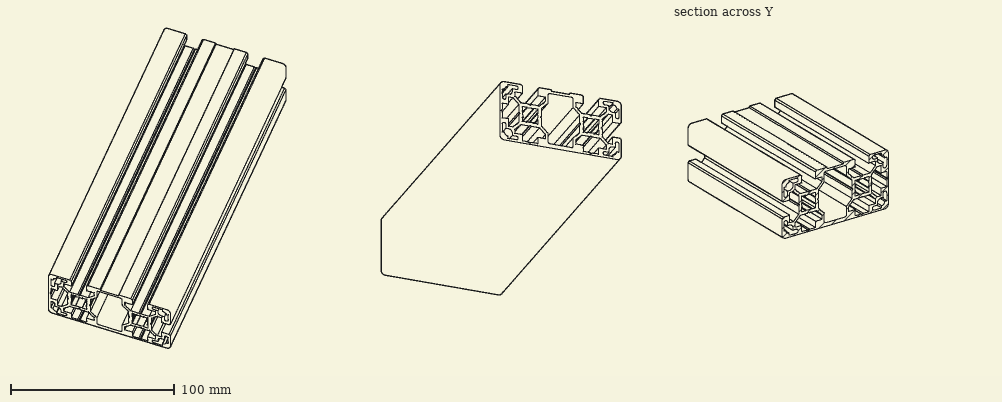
import cadquery as cq
import math

length = 200.0
width = 80.0
height = 40.0
corner_radius = 3.0

half_module = height / 2
core_half = 15.0 / 2
core_spacing = width / 2
core_x = core_spacing / 2

mouth_half = 5.0
mouth_bevel = 1.0
lip_depth = 5.8
slot_half = 10.0
closed_wall = 1.5
web_offset = 1.5
nick_half = 0.8
nick_depth = 0.5

bore_half = 10.2 / 2
bore_radius = 5.0
bore_corner_start = 2.2

chamber_half = 8.2
chamber_half_height = 17.2
chamber_round = 1.2
recess_half = 6.2
recess_floor_half = 5.8
recess_depth = 1.0

pocket_outer = half_module - closed_wall
pocket_tip = 8.0
pocket_inner = 16.0
screw_centre = 14.5
screw_radius = 2.5
screw_step = 14.5


def prism(outline):
    """Extrude a closed XZ outline over the full length, centred on Y."""
    return outline.close().extrude(length / 2, both=True)


def mirrored_outline(right_side):
    """Complete a right-hand half outline with its mirror image about the vertical axis."""
    left_side = [(-x, z) for x, z in reversed(right_side) if x > 0]
    return cq.Workplane("XZ").polyline(right_side + left_side)


def slot(is_open):
    """T-slot above a core at the origin; a closed slot stops at a thin wall with a nick in it."""
    lip_level = half_module - lip_depth
    cavity_points = [
        (0, core_half - nick_depth),
        (nick_half, core_half),
        (core_half - web_offset, core_half),
        (slot_half, slot_half + web_offset),
        (slot_half, lip_level),
        (mouth_half, lip_level),
    ]
    if is_open:
        mouth_points = [
            (mouth_half, half_module - mouth_bevel),
            (mouth_half + mouth_bevel, half_module),
        ]
    else:
        wall_level = half_module - closed_wall
        mouth_points = [
            (mouth_half, wall_level),
            (nick_half, wall_level),
            (0, wall_level + nick_depth),
        ]
    return prism(mirrored_outline(cavity_points + mouth_points))


def corner_pocket():
    """Bent hollow in the +X +Z corner of a core at the origin, with a screw hole across its bend."""
    tip_radius = (pocket_outer - pocket_inner) / 2
    tip_middle = pocket_outer - tip_radius
    tip_start = pocket_tip + tip_radius
    screw_reach = screw_centre + math.sqrt(screw_radius**2 - (screw_step - screw_centre) ** 2)
    screw_inner = screw_centre - screw_radius
    diagonal_reach = screw_radius * math.sqrt(0.5)
    screw_far = screw_centre + diagonal_reach
    screw_near = screw_centre - diagonal_reach
    return prism(
        cq.Workplane("XZ")
        .moveTo(tip_start, pocket_outer)
        .lineTo(screw_step, pocket_outer)
        .lineTo(screw_step, screw_reach)
        .threePointArc((screw_far, screw_far), (screw_reach, screw_step))
        .lineTo(pocket_outer, screw_step)
        .lineTo(pocket_outer, tip_start)
        .threePointArc((tip_middle, pocket_tip), (pocket_inner, tip_start))
        .lineTo(pocket_inner, screw_inner)
        .lineTo(screw_centre, screw_inner)
        .threePointArc((screw_near, screw_near), (screw_inner, screw_centre))
        .lineTo(screw_inner, pocket_inner)
        .lineTo(tip_start, pocket_inner)
        .threePointArc((pocket_tip, tip_middle), (tip_start, pocket_outer))
    )


def core_bore():
    """Round hole through a core at the origin, with a square relief at each of its four corners."""
    relief_size = bore_half - bore_corner_start
    relief_spacing = bore_half + bore_corner_start
    reliefs = (
        cq.Workplane("XZ")
        .rarray(relief_spacing, relief_spacing, 2, 2)
        .rect(relief_size, relief_size)
        .extrude(length / 2, both=True)
    )
    return cq.Workplane("XZ").circle(bore_radius).extrude(length / 2, both=True).union(reliefs)


def central_chamber():
    """Hollow between the cores, widened at mid height between their webs."""
    waist_half = core_x - core_half
    web_top = core_x - chamber_half - web_offset
    web_bottom = core_half - web_offset
    right_side = [
        (chamber_half, -chamber_half_height),
        (chamber_half, -web_top),
        (waist_half, -web_bottom),
        (waist_half, -nick_half),
        (waist_half + nick_depth, 0),
        (waist_half, nick_half),
        (waist_half, web_bottom),
        (chamber_half, web_top),
        (chamber_half, chamber_half_height),
    ]
    chamber = prism(mirrored_outline(right_side))
    chamber_corners = chamber.faces("<Z or >Z").edges("|Y")
    return chamber_corners.fillet(chamber_round)


def top_recess():
    """Shallow bevelled channel along the middle of the top face."""
    floor_level = half_module - recess_depth
    return prism(mirrored_outline([(recess_floor_half, floor_level), (recess_half, half_module)]))


body = cq.Workplane("XY").box(width, length, height).edges("|Y").fillet(corner_radius)
body = body.cut(central_chamber()).cut(top_recess())

for side in (-1, 1):
    core_offset = (side * core_x, 0, 0)
    body = body.cut(core_bore().translate(core_offset))

    side_slot = slot(is_open=side > 0).rotate((0, 0, 0), (0, 1, 0), side * 90)
    bottom_slot = slot(is_open=False).rotate((0, 0, 0), (0, 1, 0), 180)
    for cutter in (slot(is_open=True), bottom_slot, side_slot):
        body = body.cut(cutter.translate(core_offset))

    pocket = corner_pocket() if side > 0 else corner_pocket().mirror("YZ")
    for cutter in (pocket, pocket.mirror("XY")):
        body = body.cut(cutter.translate(core_offset))

result = body